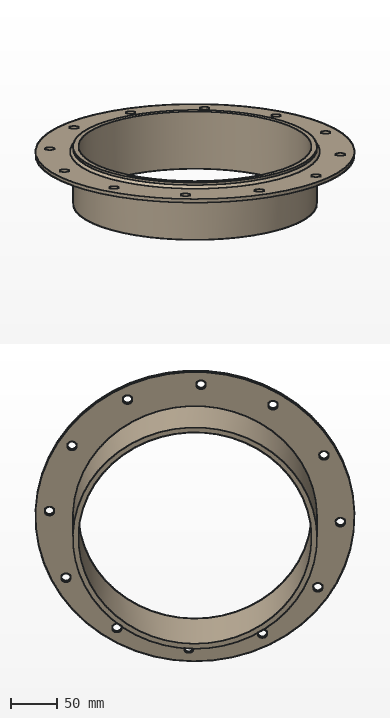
import cadquery as cq

total_height = 65.0
bore_diameter = 252
tube_diameter = 264.0
flange_diameter = 345
flange_thickness = 4.0
tube_rise = 6.0
weld_leg = 3.0
bolt_hole_diameter = 10.5
bolt_circle_diameter = 314.5
bolt_hole_count = 12

bore_radius = bore_diameter / 2
tube_radius = tube_diameter / 2
flange_radius = flange_diameter / 2
flange_top = total_height - tube_rise
flange_bottom = flange_top - flange_thickness

section = [
    (bore_radius, 0),
    (tube_radius, 0),
    (tube_radius, flange_bottom),
    (flange_radius, flange_bottom),
    (flange_radius, flange_top),
    (tube_radius + weld_leg, flange_top),
    (tube_radius, flange_top + weld_leg),
    (tube_radius, total_height),
    (bore_radius, total_height),
]
collar = cq.Workplane("XZ").polyline(section).close().revolve(360, (0, 0), (0, 1))

bolt_holes = (
    cq.Workplane("XY", origin=(0, 0, flange_bottom))
    .polarArray(bolt_circle_diameter / 2, 0, 360, bolt_hole_count)
    .circle(bolt_hole_diameter / 2)
    .extrude(flange_thickness)
)

result = collar.cut(bolt_holes)